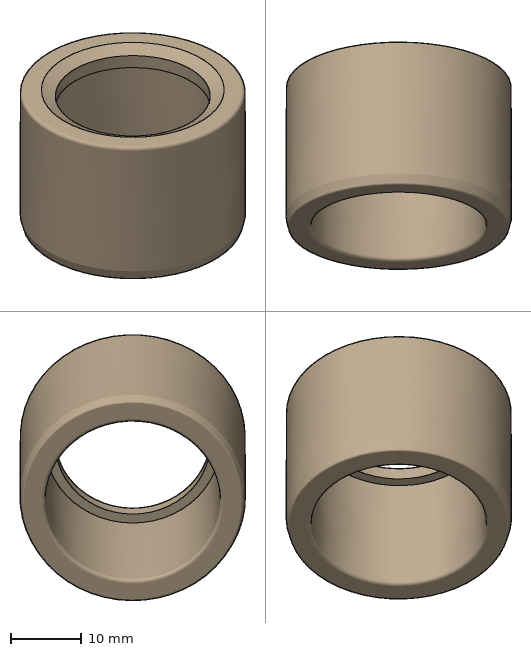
import cadquery as cq

base_diameter = 32.1
outer_draft = 0.045
height = 22.0
top_edge_radius = 0.5

lead_in_height = 1.5
lead_in_width = 0.4
bottom_edge_radius = 0.3

throat_diameter = 22.0
countersink_diameter = 26.0
countersink_depth = 1.0
throat_length = 2.0

bore_top_diameter = 24.85
bore_draft = 0.045
bore_edge_radius = 0.5

base_radius = base_diameter / 2
top_radius = base_radius - outer_draft
throat_radius = throat_diameter / 2
throat_top = height - countersink_depth
throat_bottom = throat_top - throat_length
bore_top_radius = bore_top_diameter / 2
bore_bottom_radius = bore_top_radius + bore_draft


def revolve_about_z(points):
    """Revolve a closed (radius, z) outline about the Z axis."""
    return cq.Workplane("XZ").polyline(points).close().revolve(360, (0, 0, 0), (0, 1, 0))


def make_body():
    """Solid plug with a drafted outer wall and rounded rims."""
    body = revolve_about_z(
        [
            (0, 0),
            (base_radius - lead_in_width, 0),
            (base_radius, lead_in_height),
            (top_radius, height),
            (0, height),
        ]
    )
    body = body.faces(">Z").edges().fillet(top_edge_radius)
    return body.faces("<Z").edges().fillet(bottom_edge_radius)


def make_bore():
    """Void of the through bore, stepped in at the throat and flared at the top."""
    return revolve_about_z(
        [
            (0, 0),
            (bore_bottom_radius, 0),
            (bore_top_radius, throat_bottom),
            (throat_radius, throat_bottom),
            (throat_radius, throat_top),
            (countersink_diameter / 2, height),
            (0, height),
        ]
    )


def round_bore_mouth(sleeve):
    """Round the inner edge of the bottom rim."""
    inner_edge = sleeve.faces("<Z").edges(cq.selectors.RadiusNthSelector(0))
    return inner_edge.fillet(bore_edge_radius)


sleeve = make_body().cut(make_bore())
result = round_bore_mouth(sleeve)